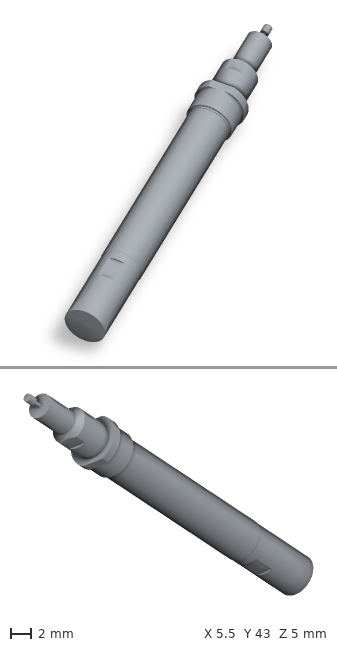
import cadquery as cq

total_length = 43.0

tail_diameter = 4.4
tail_length = 8.5
shoulder_width = 0.1

barrel_diameter = 4.5
barrel_end = 29.0

neck_diameter = 4.6
neck_length = 0.2
collar_diameter = 5.0
collar_end = 31.6
flange_diameter = 5.5
flange_end = 32.5
flange_flat_height = 4.95

nose_diameter = 4.0
relief_diameter = 3.9
relief_length = 0.5
relief_chamfer = (nose_diameter - relief_diameter) / 2

sleeve_diameter = 2.7
sleeve_base = 37.0
sleeve_end = 41.0
cone_length = (nose_diameter - sleeve_diameter) / 2

pin_diameter = 0.4
head_diameter = 0.9
head_length = 0.95

tail_flat_start = 5.0
tail_flat_end = 7.5
tail_flat_height = 4.0
nose_flat_start = 35.0
nose_flat_height = 3.5


def turned_body():
    """Revolve the stepped half profile, drawn in the YZ plane, about the Y axis."""
    stations = [
        (tail_diameter, 0),
        (tail_diameter, tail_length),
        (barrel_diameter, tail_length + shoulder_width),
        (barrel_diameter, barrel_end),
        (neck_diameter, barrel_end),
        (neck_diameter, barrel_end + neck_length),
        (collar_diameter, barrel_end + neck_length),
        (collar_diameter, collar_end),
        (flange_diameter, collar_end),
        (flange_diameter, flange_end),
        (relief_diameter, flange_end),
        (relief_diameter, flange_end + relief_length),
        (nose_diameter, flange_end + relief_length + relief_chamfer),
        (nose_diameter, sleeve_base - cone_length),
        (sleeve_diameter, sleeve_base),
        (sleeve_diameter, sleeve_end),
        (pin_diameter, sleeve_end),
        (pin_diameter, total_length - head_length),
        (head_diameter, total_length - head_length),
        (head_diameter, total_length),
    ]
    outline = [(0, 0)]
    for diameter, station in stations:
        outline.append((station, diameter / 2))
    outline.append((total_length, 0))
    return cq.Workplane("YZ").polyline(outline).close().revolve(360, (0, 0, 0), (1, 0, 0))


def cut_flats(body, start, end, height):
    """Cut two flats, `height` apart across Z, between two stations."""
    length = end - start
    cutter_size = flange_diameter
    for side in (1, -1):
        cutter = cq.Workplane("XY").box(cutter_size, length, cutter_size)
        cutter_z = side * (height + cutter_size) / 2
        body = body.cut(cutter.translate((0, start + length / 2, cutter_z)))
    return body


result = turned_body()
result = cut_flats(result, collar_end, flange_end, flange_flat_height)
result = cut_flats(result, tail_flat_start, tail_flat_end, tail_flat_height)
result = cut_flats(result, nose_flat_start, sleeve_base, nose_flat_height)